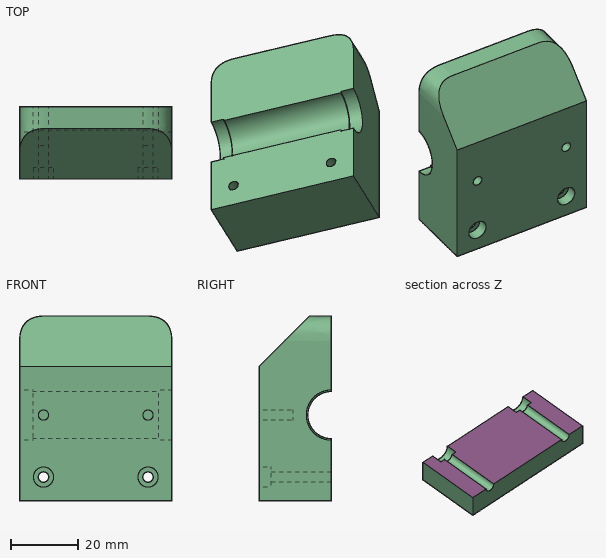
import cadquery as cq

width = 45.3
depth = 21.5
height = 55.0
bevel = 15.0
corner_size = 7.5
corner_fullness = 0.66

channel_height = 25.5
channel_radius = 7.0
channel_end_radius = 7.5
channel_end_length = 4.0

hole_spacing = 31.1
hole_diameter = 3.0
screw_height = 7.1
counterbore_diameter = 6.0
counterbore_depth = 3.5
pin_hole_depth = 10.0


def rounded_plate():
    """Front outline with softened upper corners, extruded through the depth."""
    left, right = -width / 2, width / 2
    shoulder = height - corner_size
    handle = corner_size * (1 - corner_fullness)
    right_corner = [
        (right, shoulder),
        (right, height - handle),
        (right - handle, height),
        (right - corner_size, height),
    ]
    left_corner = [(-x, z) for x, z in reversed(right_corner)]
    return (
        cq.Workplane("XZ")
        .moveTo(left, 0)
        .lineTo(right, 0)
        .lineTo(right, shoulder)
        .bezier(right_corner)
        .lineTo(left + corner_size, height)
        .bezier(left_corner)
        .close()
        .extrude(-depth)
    )


def make_body():
    side_profile = [
        (0, 0),
        (depth, 0),
        (depth, height),
        (bevel, height),
        (0, height - bevel),
    ]
    wedge = cq.Workplane("YZ").polyline(side_profile).close().extrude(width / 2, both=True)
    return wedge.intersect(rounded_plate())


def channel_section(start_x, length, radius):
    return (
        cq.Workplane("YZ", origin=(start_x, depth, channel_height))
        .circle(radius)
        .extrude(length)
    )


def front_holes(z, diameter, hole_depth):
    """Pair of round cutters running back from the front face."""
    return (
        cq.Workplane("XZ", origin=(0, 0, z))
        .pushPoints([(-hole_spacing / 2, 0), (hole_spacing / 2, 0)])
        .circle(diameter / 2)
        .extrude(-hole_depth)
    )


result = make_body()

result = result.cut(channel_section(-width / 2, width, channel_radius))
for end_start in (-width / 2, width / 2 - channel_end_length):
    result = result.cut(channel_section(end_start, channel_end_length, channel_end_radius))

result = result.cut(front_holes(screw_height, hole_diameter, depth))
result = result.cut(front_holes(screw_height, counterbore_diameter, counterbore_depth))

result = result.cut(front_holes(channel_height, hole_diameter, pin_hole_depth))